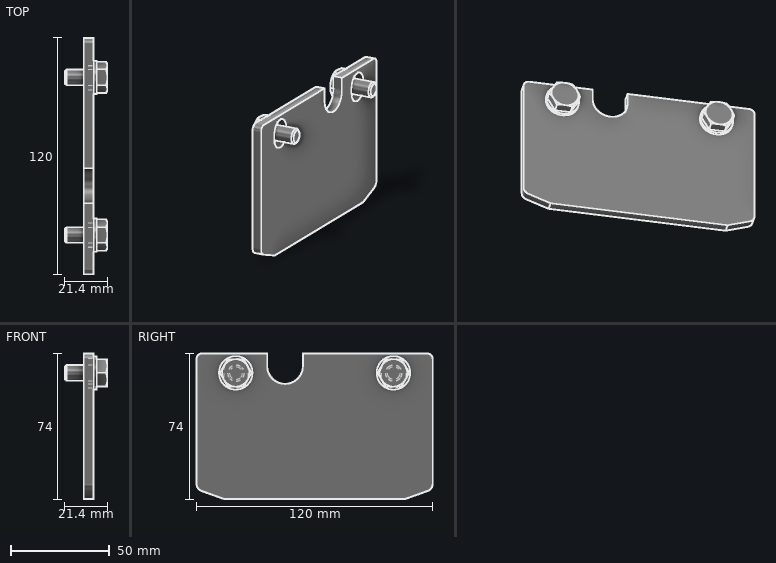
import cadquery as cq
import math

plate_thickness = 5.0
plate_length = 120.0
plate_height = 74.0
top_corner_radius = 3.0
bottom_corner_radius = 4.0
bottom_taper_length = 14.0
bottom_taper_rise = 5.0

notch_y = -15.0
notch_radius = 9.0
notch_centre_depth = 6.5

bolt_spacing = 80.0
bolt_depth = 10.0
bolt_z = plate_height - bolt_depth
slot_width = 12.4
slot_height = 15.0

washer_diameter = 17.0
washer_hole_diameter = 8.4
washer_thickness = 1.5

shank_diameter = 8.0
shank_projection = 9.5
tip_chamfer = 0.8
head_width = 13.9
head_height = 5.4
head_chamfer_angle = 30

washer_x = plate_thickness
head_x = washer_x + washer_thickness
bolt_positions = [(side * bolt_spacing / 2, bolt_z) for side in (-1, 1)]


def yz_plane(x):
    """Workplane at X = x whose local axes are Y and Z, extruding toward +X."""
    return cq.Workplane("YZ", origin=(x, 0, 0))


def plate_blank():
    half_length = plate_length / 2
    taper_y = half_length - bottom_taper_length
    outline = [
        (-half_length, plate_height),
        (-half_length, bottom_taper_rise),
        (-taper_y, 0),
        (taper_y, 0),
        (half_length, bottom_taper_rise),
        (half_length, plate_height),
    ]
    blank = yz_plane(0).polyline(outline).close().extrude(plate_thickness)
    rounded_top = blank.edges("|X").edges(">Z").fillet(top_corner_radius)
    return rounded_top.edges("|X and (<Y or >Y)").edges("<Z").fillet(bottom_corner_radius)


def notch_cutter():
    left = notch_y - notch_radius
    right = notch_y + notch_radius
    centre_z = plate_height - notch_centre_depth
    return (
        yz_plane(0)
        .moveTo(left, plate_height)
        .lineTo(left, centre_z)
        .threePointArc((notch_y, centre_z - notch_radius), (right, centre_z))
        .lineTo(right, plate_height)
        .close()
        .extrude(plate_thickness)
    )


def slot_cutters():
    return yz_plane(0).pushPoints(bolt_positions).slot2D(slot_height, slot_width, 90).extrude(plate_thickness)


def make_plate():
    return plate_blank().cut(notch_cutter()).cut(slot_cutters())


def make_washer(y, z):
    return (
        yz_plane(washer_x)
        .center(y, z)
        .circle(washer_diameter / 2)
        .circle(washer_hole_diameter / 2)
        .extrude(washer_thickness)
    )


def make_head():
    """Hexagon with corners toward +Y and -Y, its outer corners turned off by a cone."""
    corner_diameter = head_width / math.cos(math.pi / 6)
    head_corner_radius = corner_diameter / 2
    flat_radius = head_width / 2
    chamfer_depth = (head_corner_radius - flat_radius) * math.tan(math.radians(head_chamfer_angle))
    hexagon = yz_plane(head_x).polygon(6, corner_diameter).extrude(head_height)
    head_end_x = head_x + head_height
    envelope_profile = [
        (head_x, 0),
        (head_x, head_corner_radius),
        (head_end_x - chamfer_depth, head_corner_radius),
        (head_end_x, flat_radius),
        (head_end_x, 0),
    ]
    envelope = cq.Workplane("XY").polyline(envelope_profile).close().revolve(360, (0, 0, 0), (1, 0, 0))
    return hexagon.intersect(envelope)


def make_bolt(y, z):
    shank = (
        yz_plane(-shank_projection)
        .circle(shank_diameter / 2)
        .extrude(shank_projection + head_x)
        .faces("<X")
        .chamfer(tip_chamfer)
    )
    return make_head().union(shank).translate((0, y, z))


plate = make_plate()
washers = [make_washer(y, z) for y, z in bolt_positions]
bolts = [make_bolt(y, z) for y, z in bolt_positions]

result = cq.Compound.makeCompound(
    [
        plate.val(),
        *[washer.val() for washer in washers],
        *[bolt.val() for bolt in bolts],
    ]
)